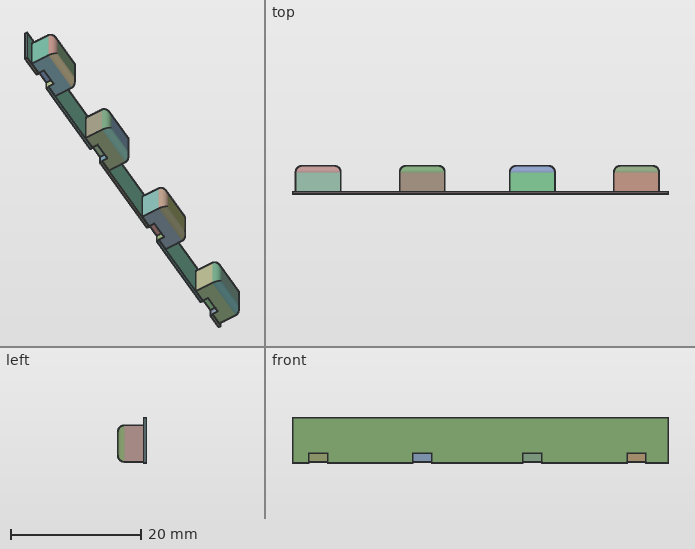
import cadquery as cq

plate_length = 57.75
plate_height = 7.0
plate_thickness = 0.4

total_depth = 4.4
block_width = 7.0
block_height = 5.65
block_bottom = 0.2
block_edge_radius = 1.05

first_block_center = 3.9
pair_pitch = 16.0
second_pair_offset = 32.9
block_centers = [
    first_block_center + pair_offset + step
    for pair_offset in (0, second_pair_offset)
    for step in (0, pair_pitch)
]

notch_width = 2.9
notch_height = 1.55
notch_depth = 1.3


def box_at(center_x, front_y, bottom_z, width, depth, height):
    """Box centred in X, starting at the given Y and Z."""
    return (
        cq.Workplane("XY")
        .box(width, depth, height, centered=(True, False, False))
        .translate((center_x, front_y, bottom_z))
    )


def make_block(center_x):
    """Block with its back face rounded along all four edges."""
    block_depth = total_depth - plate_thickness
    block = box_at(center_x, plate_thickness, block_bottom, block_width, block_depth, block_height)
    return block.faces(">Y").edges().fillet(block_edge_radius)


def make_notch(center_x):
    """Cutter for a blind notch through the plate and partly into the block."""
    return box_at(center_x, 0, 0, notch_width, notch_depth, notch_height)


result = box_at(plate_length / 2, 0, 0, plate_length, plate_thickness, plate_height)
for block_center in block_centers:
    result = result.union(make_block(block_center)).cut(make_notch(block_center))